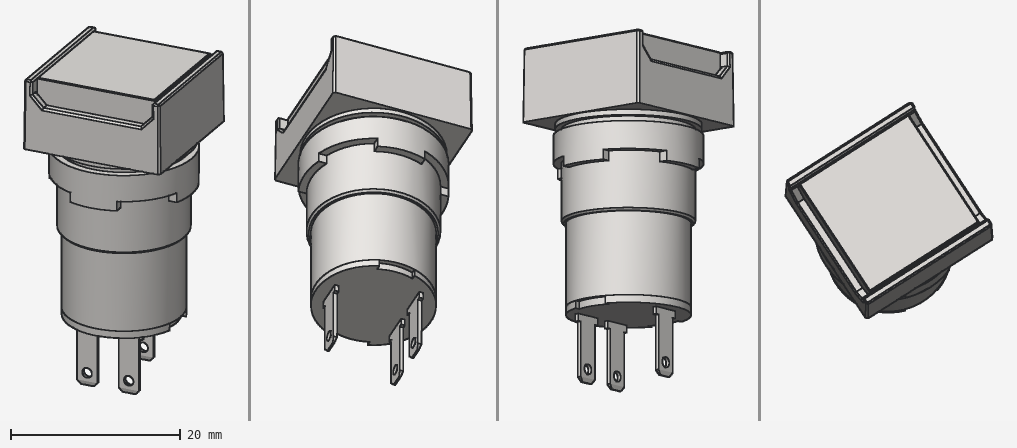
import cadquery as cq
import math


top_z = 40.0
bezel_bottom_z = 31.1
flange_bottom_z = 30.45
nut_top_z = 29.7
nut_slot_top_z = 26.3
nut_bottom_z = 25.1
barrel_bottom_z = 19.1
plate_top_z = 9.0
plate_bottom_z = 8.1
shoulder_bottom_z = 7.2
tip_bevel_top_z = 0.55
terminal_hole_z = 1.65

bezel_bottom_width = 17.9
bezel_top_width = 17.7
bezel_height = top_z - bezel_bottom_z
bezel_corner_chamfer = 0.25
bezel_rim_chamfer = 0.2
opening_chamfer = 0.25
notch_flare_depth = 0.15
bezel_floor = 2.0
cap_seat_z = bezel_bottom_z + bezel_floor

cap_width = 15.4
cap_clearance = 0.1
cap_chamfer = 0.1
pocket_width = cap_width + 2 * cap_clearance

notch_floor_z = 36.75
notch_floor_width = 12.7
notch_corner = (pocket_width - notch_floor_width) / 2
notch_overrun = 0.4

flange_radius = 8.7
barrel_radius = 7.9
barrel_chamfer = 0.3
lower_barrel_radius = 7.4

nut_radius = 8.9
nut_lug_width = 6.1

recess_radius = 6.8
recess_width = 4.5

terminal_width = 2.65
terminal_thickness = 0.5
shoulder_width = 3.55
tip_corner = 0.5
tip_thickness = 0.2
terminal_hole_diameter = 1.25
terminal_pitch = 2.7
front_row_y = -4.2
back_row_y = 5.5
terminal_places = [(-terminal_pitch, front_row_y), (terminal_pitch, front_row_y), (0, back_row_y)]


def cylinder(radius, bottom_z, cylinder_top_z):
    return cq.Workplane("XY").workplane(offset=bottom_z).circle(radius).extrude(cylinder_top_z - bottom_z)


def block(x_width, y_width, bottom_z, block_top_z):
    plane = cq.Workplane("XY").workplane(offset=bottom_z)
    return plane.rect(x_width, y_width).extrude(block_top_z - bottom_z)


def notch_outline(y, margin):
    """Closed notch outline in the plane at y, grown outwards by margin."""
    half_width = pocket_width / 2 + margin
    floor_z = notch_floor_z - margin
    corner = notch_corner + margin * (2 - math.sqrt(2))
    points = [
        (-half_width, top_z + notch_overrun),
        (-half_width, floor_z + corner),
        (-half_width + corner, floor_z),
        (half_width - corner, floor_z),
        (half_width, floor_z + corner),
        (half_width, top_z + notch_overrun),
    ]
    return cq.Wire.makePolygon([cq.Vector(x, y, z) for x, z in points], close=True)


def make_notch():
    """Notch through both walls, flaring towards the outer faces."""
    inner_y = bezel_top_width / 2 - notch_flare_depth
    outer_y = inner_y + 2 * notch_flare_depth
    middle = cq.Solid.makeLoft([notch_outline(-inner_y, 0), notch_outline(inner_y, 0)], True)
    notch = cq.Workplane("XY").newObject([middle])
    for side in (-1, 1):
        outlines = [notch_outline(side * inner_y, 0), notch_outline(side * outer_y, 2 * opening_chamfer)]
        notch = notch.union(cq.Workplane("XY").newObject([cq.Solid.makeLoft(outlines, True)]))
    return notch


def make_rim_bevel():
    """Wedge along Y that chamfers the inner top edges of the two side walls."""
    lower = pocket_width / 2
    upper = lower + opening_chamfer
    lower_z = top_z - opening_chamfer
    profile = [(-lower, lower_z), (lower, lower_z), (upper, top_z), (-upper, top_z)]
    return cq.Workplane("XZ").polyline(profile).close().extrude(bezel_bottom_width / 2, both=True)


def make_housing():
    draft = math.degrees(math.atan((bezel_bottom_width - bezel_top_width) / 2 / bezel_height))
    bezel = cq.Workplane("XY").workplane(offset=bezel_bottom_z)
    bezel = bezel.rect(bezel_bottom_width, bezel_bottom_width).extrude(bezel_height, taper=draft)
    bezel = bezel.edges("not (|X or |Y)").chamfer(bezel_corner_chamfer)
    bezel = bezel.faces(">Z").chamfer(bezel_rim_chamfer)
    bezel = bezel.cut(block(pocket_width, pocket_width, cap_seat_z, top_z))
    bezel = bezel.cut(make_notch()).cut(make_rim_bevel())

    flange = cylinder(flange_radius, flange_bottom_z, bezel_bottom_z)
    barrel = cylinder(barrel_radius, barrel_bottom_z, flange_bottom_z)
    barrel = barrel.faces("<Z").chamfer(barrel_chamfer)
    lower_barrel = cylinder(lower_barrel_radius, plate_top_z, barrel_bottom_z)
    return bezel.union(flange).union(barrel).union(lower_barrel)


def make_cap():
    return block(cap_width, cap_width, cap_seat_z, top_z).faces(">Z").chamfer(cap_chamfer)


def make_nut():
    """Ring on the barrel with four lugs left standing on its lower face, on the X and Y axes."""
    ring = cylinder(nut_radius, nut_bottom_z, nut_top_z)
    ring = ring.cut(cylinder(barrel_radius, nut_bottom_z, nut_top_z))
    lugs = block(2 * nut_radius, nut_lug_width, nut_bottom_z, nut_slot_top_z)
    lugs = lugs.union(block(nut_lug_width, 2 * nut_radius, nut_bottom_z, nut_slot_top_z))
    slots = cylinder(nut_radius, nut_bottom_z, nut_slot_top_z).cut(lugs)
    return ring.cut(slots)


def make_terminal(x, y):
    """Flat blade with a wider shoulder at the plate, a soldering hole and a tip bevelled on four sides."""
    shoulder = block(shoulder_width, terminal_thickness, shoulder_bottom_z, plate_bottom_z)
    blade = block(terminal_width, terminal_thickness, tip_bevel_top_z, plate_bottom_z)
    tip = cq.Workplane("XY").workplane(offset=tip_bevel_top_z).rect(terminal_width, terminal_thickness)
    tip = tip.workplane(offset=-tip_bevel_top_z).rect(terminal_width - 2 * tip_corner, tip_thickness)
    tip = tip.loft(ruled=True)
    hole = cq.Workplane("XZ").center(0, terminal_hole_z).circle(terminal_hole_diameter / 2)
    hole = hole.extrude(terminal_thickness, both=True)
    return shoulder.union(blade).union(tip).cut(hole).translate((x, y, 0))


def make_terminal_plate():
    """Disc closing the lower barrel, recessed at both X sides, with three terminals below it."""
    plate = cylinder(lower_barrel_radius, plate_bottom_z, plate_top_z)
    recesses = block(2 * lower_barrel_radius, recess_width, plate_bottom_z, plate_top_z)
    recesses = recesses.cut(cylinder(recess_radius, plate_bottom_z, plate_top_z))
    plate = plate.cut(recesses)
    for x, y in terminal_places:
        plate = plate.union(make_terminal(x, y))
    return plate


housing = make_housing()
cap = make_cap()
nut = make_nut()
terminal_plate = make_terminal_plate()

bodies = [housing, cap, nut, terminal_plate]
result = cq.Compound.makeCompound([body.solids().val() for body in bodies])